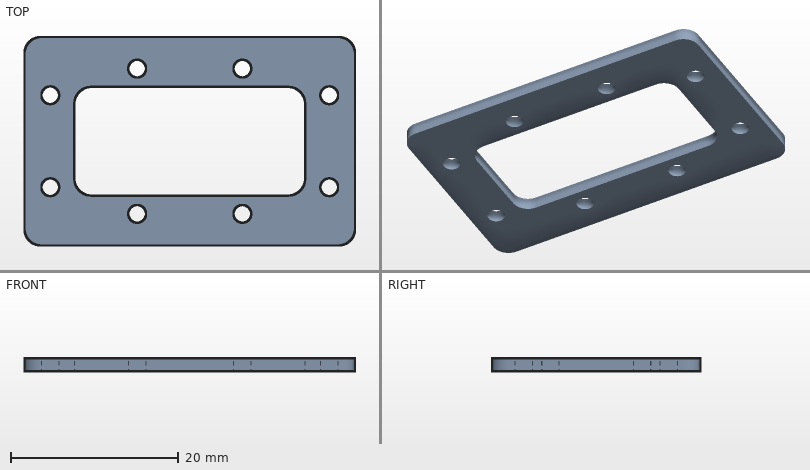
import cadquery as cq

plate_length = 39.6
plate_width = 25.0
plate_thickness = 1.6
corner_radius = 2.0

window_length = 27.6
window_width = 13.0

hole_diameter = 2.1
end_hole_spacing_x = 33.4
end_hole_spacing_y = 11.0
side_hole_spacing_x = 12.6
side_hole_spacing_y = 17.4


def rounded_block(length, width):
    """Block of plate thickness, centred on the origin, with rounded vertical edges."""
    block = cq.Workplane("XY").box(length, width, plate_thickness)
    return block.edges("|Z").fillet(corner_radius)


def drill_four(body, spacing_x, spacing_y):
    """Drill through holes at the corners of a centred rectangle."""
    centres = body.faces(">Z").workplane(origin=(0, 0, 0)).rarray(spacing_x, spacing_y, 2, 2)
    return centres.hole(hole_diameter)


plate = rounded_block(plate_length, plate_width)
frame = plate.cut(rounded_block(window_length, window_width))
frame = drill_four(frame, end_hole_spacing_x, end_hole_spacing_y)
result = drill_four(frame, side_hole_spacing_x, side_hole_spacing_y)